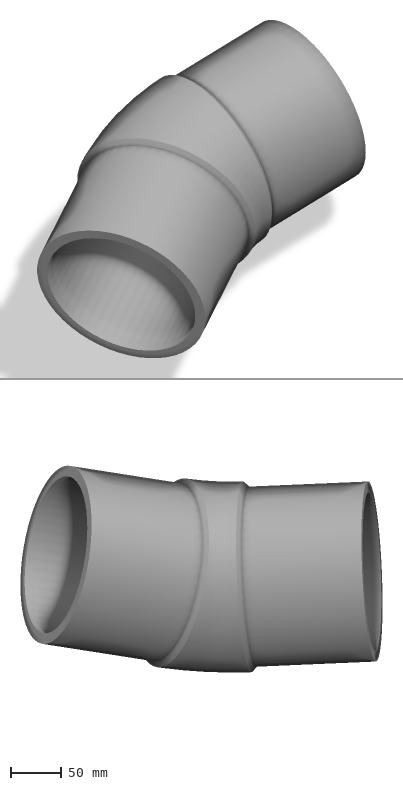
import cadquery as cq
import math

spigot_diameter = 180.0
bend_diameter = 190.5
bore_diameter = 158.5
bend_angle = 30.0
overall_length = 353.0
leg_length = 120.0

shoulder = (bend_diameter - spigot_diameter) / 2
angle = math.radians(bend_angle)

end_center_y = overall_length - spigot_diameter / 2 * math.sin(angle)
corner_distance = end_center_y / (1 + math.cos(angle))
bend_radius = (corner_distance - leg_length) / math.tan(angle / 2)


def make_leg(diameter):
    """Solid cylinder along +Y from the origin to the start of the bend."""
    return cq.Workplane("XZ").circle(diameter / 2).extrude(-leg_length)


def make_bend(diameter):
    """Solid circular bend starting at the end of the first leg."""
    return (
        cq.Workplane("XZ", origin=(0, leg_length, 0))
        .circle(diameter / 2)
        .revolve(bend_angle, (bend_radius, 3.5), (bend_radius, 0))
    )


def at_far_end(leg):
    """Copy a leg from the first end of the bend to the tilted end."""
    bend_center = (bend_radius, leg_length)
    return (
        leg.mirror("XZ")
        .translate((0, 2 * leg_length, 0))
        .rotate((*bend_center, 0), (*bend_center, 1), -bend_angle)
    )


def make_elbow(bend, leg):
    """Join a bend with a leg at each end."""
    return bend.union(leg).union(at_far_end(leg))


outer_bend = make_bend(bend_diameter).edges("%CIRCLE").chamfer(shoulder)
body = make_elbow(outer_bend, make_leg(spigot_diameter))
bore = make_elbow(make_bend(bore_diameter), make_leg(bore_diameter))
result = body.cut(bore)